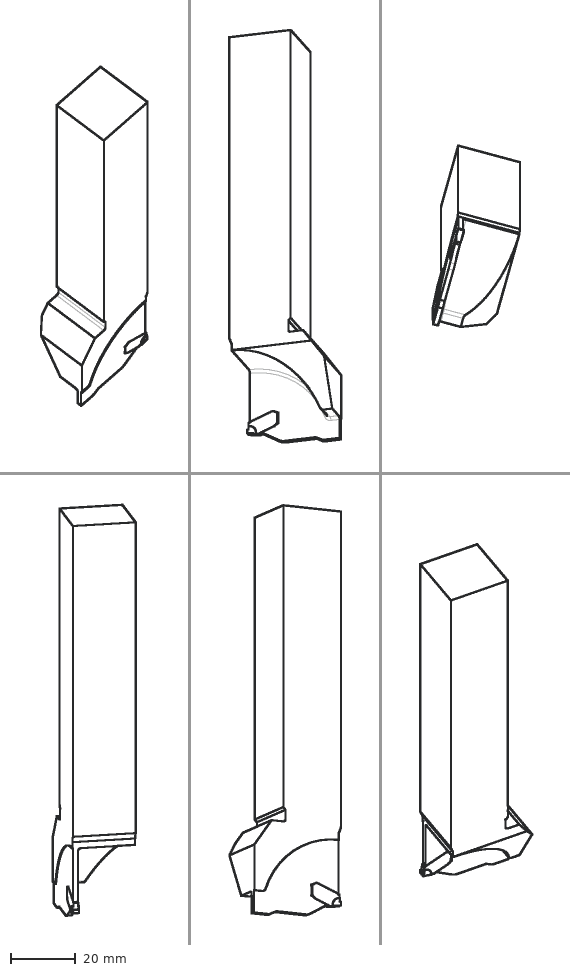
import cadquery as cq
import math

LENGTH = 130.0
WIDTH = 19.9
SHANK_DEPTH = 20.0
HEAD_FRONT_Y = -30.0
BACK_RELIEF = 0.8
BACK_RELIEF_TOP_Z = 29.9
BACK_RELIEF_BOTTOM_Z = 28.0
HEAD_TOP_Z = 29.8
HEAD_TOP_FRONT_Y = -24.0
HEAD_SLOPE_END_Z = 21.5
NECK_STEP = 0.8
NECK_TOP_Z = 34.3

BLADE_BOTTOM_Z = 1.2
TOE_BACK_Y = -24.5
TOE_STEP_Y = -22.2
HEEL_Y = -4.5
HEEL_Z = 5.0
HEEL_ANGLE = 30.0
HEEL_RADIUS = 3.9

FLANK_TOP_Z = 26.0
FLANK_FOOT_X = 10.8
POCKET_WALL_Z = 7.0
BLADE_LEFT_X = 18.1
BLADE_RIGHT_X = 19.6
POCKET_RADIUS = 26.8
POCKET_CENTER_Z = -0.9
POCKET_CORNER_RADIUS = 1.2
POCKET_FILLET = 0.9

INSERT_END_Y = -9.8
SEAT_GAP = 0.4
TIP_LEFT_X = 18.0
TIP_RADIUS = 2.3
TIP_CENTER = (-0.5, 5.1)
INSERT_TOP = [(-0.4, 8.5), (-1.3, 9.0), (-8.3, 11.6)]
INSERT_BOTTOM = [(-8.8, 6.5), (-4.7, 5.0), (-3.8, 4.5)]
INSERT_NOSE = [(0, 5.2), (0, 6.2), (-0.4, 6.4)]
INSERT_END_TOP_Z = 10.8
INSERT_END_BOTTOM_Z = 7.4

MARGIN = 6.5


def plate(outline, left_x, right_x):
    """Extrude a (y, z) outline from left_x to right_x."""
    return cq.Workplane("YZ").workplane(offset=left_x).polyline(outline).close().extrude(right_x - left_x)


def holder_blank():
    """Shank with the neck groove and the full-width head."""
    neck_y = NECK_STEP - SHANK_DEPTH
    knee_y = HEEL_Y - (HEEL_Z - BLADE_BOTTOM_Z) / math.tan(math.radians(HEEL_ANGLE))
    outline = [
        (0, LENGTH),
        (0, BACK_RELIEF_TOP_Z),
        (-BACK_RELIEF, BACK_RELIEF_BOTTOM_Z),
        (-BACK_RELIEF, HEEL_Z),
        (HEEL_Y, HEEL_Z),
        (knee_y, BLADE_BOTTOM_Z),
        (TOE_STEP_Y, BLADE_BOTTOM_Z),
        (TOE_BACK_Y, 0),
        (HEAD_FRONT_Y, 0),
        (HEAD_FRONT_Y, HEAD_SLOPE_END_Z),
        (HEAD_TOP_FRONT_Y, HEAD_TOP_Z),
        (neck_y, HEAD_TOP_Z),
        (neck_y, NECK_TOP_Z - NECK_STEP),
        (-SHANK_DEPTH, NECK_TOP_Z),
        (-SHANK_DEPTH, LENGTH),
    ]
    blank = plate(outline, 0, WIDTH)
    blank = blank.edges(cq.NearestToPointSelector((WIDTH / 2, neck_y, HEAD_TOP_Z))).fillet(NECK_STEP)
    return blank.edges(cq.NearestToPointSelector((WIDTH / 2, knee_y, BLADE_BOTTOM_Z))).fillet(HEEL_RADIUS)


def flank_cut():
    """Wedge below the slanted flank, which runs down to the foot of the pocket wall."""
    slope = (POCKET_WALL_Z - FLANK_TOP_Z) / FLANK_FOOT_X
    outline = [
        (-MARGIN, FLANK_TOP_Z - MARGIN * slope),
        (FLANK_FOOT_X, POCKET_WALL_Z),
        (FLANK_FOOT_X, -MARGIN),
        (-MARGIN, -MARGIN),
    ]
    return (
        cq.Workplane("XZ").workplane(offset=-MARGIN).polyline(outline).close()
        .extrude(2 * MARGIN - HEAD_FRONT_Y)
    )


def side_pocket(left_x, right_x):
    """Space beside the blade, bounded by an arc about the head's back and by a level wall."""
    wall_rise = POCKET_WALL_Z - POCKET_CENTER_Z
    corner_y = -BACK_RELIEF - math.sqrt(POCKET_RADIUS**2 - wall_rise**2)
    eighth_turn = math.pi / 4
    arc_middle = (
        -BACK_RELIEF - POCKET_RADIUS * math.sin(eighth_turn),
        POCKET_CENTER_Z + POCKET_RADIUS * math.cos(eighth_turn),
    )
    front_y = HEAD_FRONT_Y - MARGIN
    arc_top_z = POCKET_CENTER_Z + POCKET_RADIUS
    pocket = (
        cq.Workplane("YZ").workplane(offset=left_x)
        .moveTo(MARGIN, arc_top_z)
        .lineTo(-BACK_RELIEF, arc_top_z)
        .threePointArc(arc_middle, (corner_y, POCKET_WALL_Z))
        .lineTo(front_y, POCKET_WALL_Z)
        .lineTo(front_y, -MARGIN)
        .lineTo(MARGIN, -MARGIN)
        .close()
        .extrude(right_x - left_x)
    )
    corner = cq.NearestToPointSelector(((left_x + right_x) / 2, corner_y, POCKET_WALL_Z))
    return pocket.edges(corner).fillet(POCKET_CORNER_RADIUS)


def insert_outline(end_y, nose):
    """Outline of the insert, or of its seat, in (y, z)."""
    end = [(end_y, INSERT_END_TOP_Z), (end_y, INSERT_END_BOTTOM_Z)]
    return nose + INSERT_TOP + end + INSERT_BOTTOM


def make_holder():
    left_pocket = side_pocket(-MARGIN, BLADE_LEFT_X).faces(">X").edges().fillet(POCKET_FILLET)
    right_pocket = side_pocket(BLADE_RIGHT_X, WIDTH + MARGIN)
    open_nose = [(MARGIN, INSERT_BOTTOM[-1][1]), (MARGIN, INSERT_TOP[0][1])]
    seat = plate(insert_outline(INSERT_END_Y - SEAT_GAP, open_nose), 0, WIDTH)
    return holder_blank().cut(flank_cut()).cut(left_pocket).cut(right_pocket).cut(seat)


def make_insert():
    """Insert as thick as the blade, with a wider round-backed cutting tip."""
    outline = insert_outline(INSERT_END_Y, INSERT_NOSE)
    body = plate(outline, BLADE_LEFT_X, BLADE_RIGHT_X)
    tip_disc = (
        cq.Workplane("YZ").workplane(offset=TIP_LEFT_X).center(*TIP_CENTER)
        .circle(TIP_RADIUS).extrude(WIDTH - TIP_LEFT_X)
    )
    tip = plate(outline, TIP_LEFT_X, WIDTH).intersect(tip_disc)
    return body.union(tip)


holder = make_holder()
insert = make_insert()
result = cq.Compound.makeCompound([holder.solids().val(), insert.solids().val()])